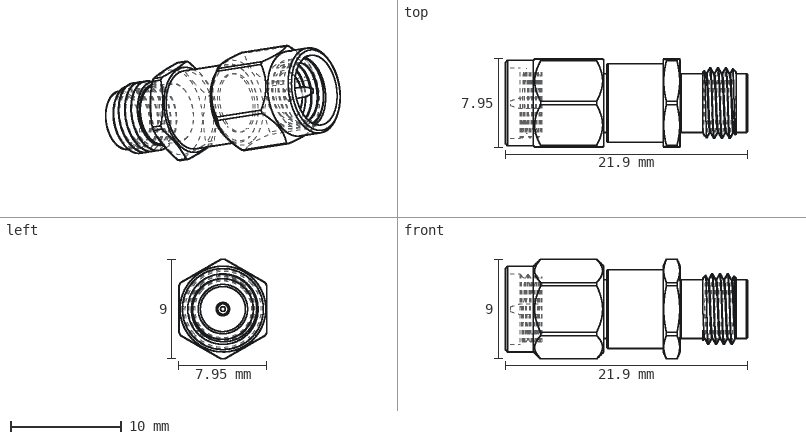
import cadquery as cq
import math

length = 21.85
sleeve_end = 2.53
coupling_hex_end = 8.89
body_start = 9.13
body_hex_start = 14.25
body_hex_end = 15.77
thread_start = 17.82
thread_end = 20.81

sleeve_radius = 7.75 / 2
sleeve_chamfer = 0.22
hex_flats = 7.95
hex_corner_radius = 9.0 / 2
hex_chamfer_radius = 3.87
coupling_hex_chamfer = 0.65
body_hex_chamfer = 0.28
body_radius = 7.12 / 2
body_chamfer = 0.13
neck_radius = 5.33 / 2
end_chamfer = 0.1

thread_radius = 3.19
three_turn_advance = 2.12
thread_pitch = three_turn_advance / 3
thread_crest_width = 0.05
thread_root_width = 0.68
thread_sink = 0.05
thread_lead_radius = 2.8
thread_lead_length = 0.48
thread_crest_at_top = 18.65
thread_turns = 6
turns_before_crest = 2

entry_radius = 6.35 / 2
entry_depth = 1.29
socket_radius = 5.48 / 2
socket_depth = 3.28
socket_groove_at_top = 2.03
socket_turns = 5

insert_radius = 4.45 / 2
insert_chamfer = 0.2
insert_height = 0.22
pin_hole_radius = 1.2 / 2
pin_radius = 0.95 / 2
pin_tip_radius = 0.22
pin_front = 0.44
pin_taper = 0.83


def revolve_profile(points):
    """Solid of revolution about X from a list of (x, radius) points."""
    return cq.Workplane("XY").polyline(points).close().revolve(360, (0, 0, 0), (1, 0, 0))


def cylinder(start, end, radius):
    return cq.Workplane("YZ").workplane(offset=start).circle(radius).extrude(end - start)


def chamfered_hex(start, end, chamfer):
    """Hexagon with flats facing +-Y, turned down to cones at both ends."""
    across_corners = hex_flats / math.cos(math.pi / 6)
    prism = (
        cq.Workplane("YZ")
        .workplane(offset=start)
        .transformed(rotate=(0, 0, 90))
        .polygon(6, across_corners)
        .extrude(end - start)
    )
    envelope = revolve_profile([
        (start, 0),
        (start, hex_chamfer_radius),
        (start + chamfer, hex_corner_radius),
        (end - chamfer, hex_corner_radius),
        (end, hex_chamfer_radius),
        (end, 0),
    ])
    return prism.intersect(envelope)


def helical_ridge(base_radius, crest_radius, crest_at_top, turns):
    """Right-hand V ridge about X; a crest passes +Z at x = crest_at_top."""
    helix_start = crest_at_top - turns_before_crest * thread_pitch
    helix = cq.Wire.makeHelix(thread_pitch, turns * thread_pitch, base_radius)
    ridge = (
        cq.Workplane("XZ")
        .moveTo(base_radius, -thread_root_width / 2)
        .lineTo(crest_radius, -thread_crest_width / 2)
        .lineTo(crest_radius, thread_crest_width / 2)
        .lineTo(base_radius, thread_root_width / 2)
        .close()
        .sweep(cq.Workplane(obj=helix), isFrenet=True)
    )
    return (
        ridge.rotate((0, 0, 0), (0, 0, 1), 180)
        .rotate((0, 0, 0), (0, 1, 0), 90)
        .translate((helix_start, 0, 0))
    )


def external_thread():
    """Thread on the neck, with both ends turned down to short lead cones."""
    ridge = helical_ridge(neck_radius - thread_sink, thread_radius, thread_crest_at_top, thread_turns)
    envelope_radius = thread_lead_radius + thread_lead_length
    envelope = revolve_profile([
        (thread_start, 0),
        (thread_start, thread_lead_radius),
        (thread_start + thread_lead_length, envelope_radius),
        (thread_end - thread_lead_length, envelope_radius),
        (thread_end, thread_lead_radius),
        (thread_end, 0),
    ])
    return ridge.intersect(envelope)


def threaded_socket():
    """Space inside the nut: wide entry, 45 degree lead cone and threaded bore."""
    bore = revolve_profile([
        (0, 0),
        (0, entry_radius),
        (entry_depth, entry_radius),
        (entry_depth + entry_radius - socket_radius, socket_radius),
        (socket_depth, socket_radius),
        (socket_depth, 0),
    ])
    groove = helical_ridge(
        socket_radius - thread_sink, entry_radius - thread_sink, socket_groove_at_top, socket_turns
    )
    groove = groove.intersect(cylinder(0, socket_depth, entry_radius))
    return bore.union(groove)


sleeve = cylinder(0, sleeve_end, sleeve_radius).faces("<X").chamfer(sleeve_chamfer)
coupling = sleeve.union(chamfered_hex(sleeve_end, coupling_hex_end, coupling_hex_chamfer))
coupling = coupling.cut(threaded_socket())

insert_front = socket_depth - insert_height
insert = cylinder(insert_front, socket_depth, insert_radius).faces("<X").chamfer(insert_chamfer)
insert = insert.cut(cylinder(insert_front, socket_depth, pin_hole_radius))
pin = revolve_profile([
    (pin_front, 0),
    (pin_front, pin_tip_radius),
    (pin_front + pin_taper, pin_radius),
    (socket_depth, pin_radius),
    (socket_depth, 0),
])

body = cylinder(body_start, body_hex_start, body_radius).faces("<X").chamfer(body_chamfer)
body_hex = chamfered_hex(body_hex_start, body_hex_end, body_hex_chamfer)
link = cylinder(coupling_hex_end, body_start, neck_radius)
neck = cylinder(body_hex_end, length, neck_radius).faces("<X or >X").chamfer(end_chamfer)
neck = neck.union(external_thread())

result = coupling
for piece in (insert, pin, link, body, body_hex, neck):
    result = result.union(piece)